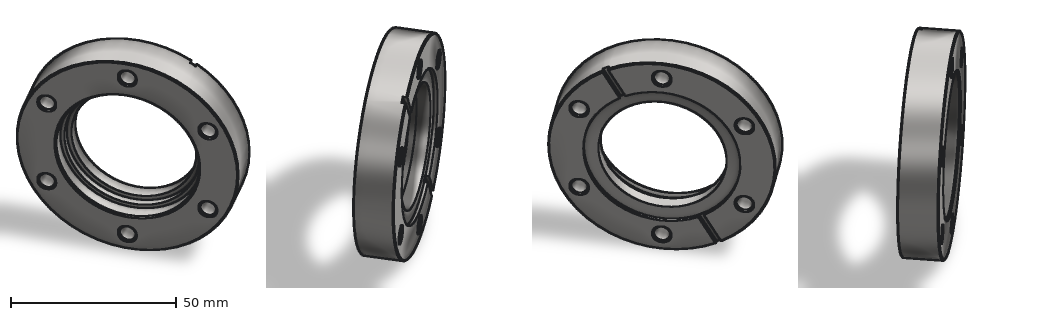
import cadquery as cq


ring_diameter = 70.0
ring_thickness = 12.7
rim_chamfer = 0.35
ring_bore_diameter = 45.0
bore_chamfer = 0.5
lip_depth = 4.7
seat_diameter = 48.3

bolt_count = 6
bolt_circle_diameter = 58.7
bolt_hole_diameter = 5.0
bolt_hole_chamfer = 0.5

groove_count = 2
groove_width = 2.0
groove_depth = 1.4
first_groove_angle = -60.0

insert_diameter = seat_diameter
insert_bore_diameter = 39.4
insert_counterbore_diameter = 42.4
insert_counterbore_depth = 2.45
gasket_recess_depth = 1.2


def tube(outer_diameter, inner_diameter, start, end):
    """Plain tube about the Y axis between two depths."""
    return (
        cq.Workplane("XZ", origin=(0, start, 0))
        .circle(outer_diameter / 2)
        .circle(inner_diameter / 2)
        .extrude(start - end)
    )


def disc(diameter, start, end):
    """Solid cylinder about the Y axis between two depths."""
    return cq.Workplane("XZ", origin=(0, start, 0)).circle(diameter / 2).extrude(start - end)


def bolt_hole_cutter():
    """Through hole, countersunk at both faces, turned about the Y axis."""
    radius = bolt_hole_diameter / 2
    mouth_radius = radius + bolt_hole_chamfer
    return (
        cq.Workplane("XY")
        .moveTo(0, 0)
        .lineTo(mouth_radius, 0)
        .lineTo(radius, bolt_hole_chamfer)
        .lineTo(radius, ring_thickness - bolt_hole_chamfer)
        .lineTo(mouth_radius, ring_thickness)
        .lineTo(0, ring_thickness)
        .close()
        .revolve(360, (0, 0, 0), (0, 1, 0))
    )


def groove_cutter():
    """Radial slot along +X in the rear face, starting inside the insert seat and leaving the rim."""
    inner_end = ring_bore_diameter / 2
    floor_depth = ring_thickness - groove_depth
    slot_length = ring_diameter / 2
    slot = cq.Workplane("XY").box(slot_length, groove_depth, groove_width, centered=(False, False, True))
    return slot.translate((inner_end, floor_depth, 0))


def make_ring():
    ring = disc(ring_diameter, 0, ring_thickness).edges().chamfer(rim_chamfer)
    ring = ring.cut(disc(ring_bore_diameter, 0, ring_thickness))
    ring = ring.faces("<Y").edges(cq.selectors.RadiusNthSelector(0)).chamfer(bore_chamfer)
    ring = ring.cut(disc(seat_diameter, lip_depth, ring_thickness))

    hole = bolt_hole_cutter().translate((0, 0, bolt_circle_diameter / 2))
    for index in range(bolt_count):
        angle = index * 360 / bolt_count
        ring = ring.cut(hole.rotate((0, 0, 0), (0, 1, 0), angle))

    groove = groove_cutter()
    for index in range(groove_count):
        angle = first_groove_angle + index * 360 / groove_count
        ring = ring.cut(groove.rotate((0, 0, 0), (0, 1, 0), angle))
    return ring


def make_insert():
    rear = ring_thickness - gasket_recess_depth
    counterbore_floor = lip_depth + insert_counterbore_depth
    insert = tube(insert_diameter, insert_bore_diameter, lip_depth, rear)
    return insert.cut(disc(insert_counterbore_diameter, lip_depth, counterbore_floor))


ring = make_ring()
insert = make_insert()
result = cq.Compound.makeCompound([ring.val(), insert.val()])